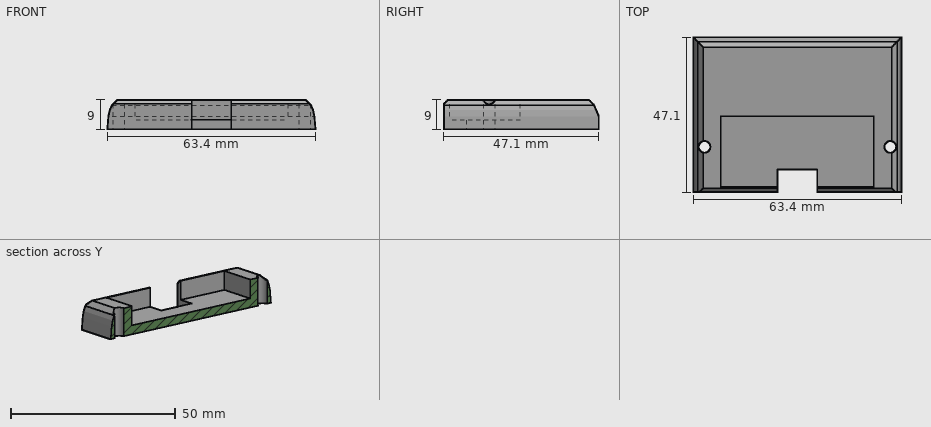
import cadquery as cq

width = 63.4
depth = 47.12
height = 9.0

side_bevel = 1.65
front_bevel = 1.2
shoulder_height = height - side_bevel

shoulder_inset = 1.4
top_inset = shoulder_inset + side_bevel

lower_facet_height = 4.0
lower_facet_inset = 0.35
middle_facet_height = 5.85
middle_facet_inset = 0.75

pocket_width = 46.5
pocket_depth = 21.4
front_wall = 1.65
floor_thickness = 3.0

notch_width = 12.0
notch_depth = 6.85

hole_diameter = 3.5
hole_spacing = 56.5
hole_setback = 13.75


def block_with_faceted_sides():
    """Section across X, extruded from front to back."""
    half_width = width / 2
    right_side = [
        (half_width, 0),
        (half_width - lower_facet_inset, lower_facet_height),
        (half_width - middle_facet_inset, middle_facet_height),
        (half_width - shoulder_inset, shoulder_height),
        (half_width - top_inset, height),
    ]
    left_side = [(-x, z) for x, z in reversed(right_side)]
    section = cq.Workplane("XZ").polyline(right_side + left_side).close()
    return section.extrude(-depth)


def front_to_back_envelope():
    """Section along Y, with the front bevel and the sloped back, extruded across the width."""
    side_section = [
        (0, 0),
        (depth, 0),
        (depth, lower_facet_height),
        (depth - shoulder_inset, shoulder_height),
        (depth - top_inset, height),
        (front_bevel, height),
        (0, height - front_bevel),
    ]
    return cq.Workplane("YZ").polyline(side_section).close().extrude(width / 2, both=True)


def box_from_front(box_width, y_start, box_depth, z_start):
    """Box centred on X that reaches from z_start up to the top face."""
    base = cq.Workplane("XY").workplane(offset=z_start).center(0, y_start + box_depth / 2)
    return base.rect(box_width, box_depth).extrude(height - z_start)


def screw_holes():
    """A vertical cylinder at each side."""
    centres = [(side * hole_spacing / 2, hole_setback) for side in (-1, 1)]
    return cq.Workplane("XY").pushPoints(centres).circle(hole_diameter / 2).extrude(height)


body = block_with_faceted_sides().intersect(front_to_back_envelope())
pocket = box_from_front(pocket_width, front_wall, pocket_depth, floor_thickness)
notch = box_from_front(notch_width, 0, notch_depth, 0)

result = body.cut(pocket).cut(notch).cut(screw_holes())